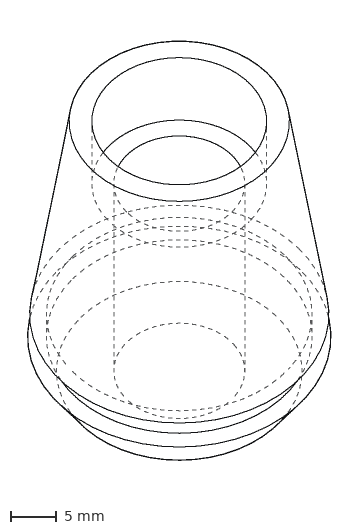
import cadquery as cq
import math

total_height = 40.0
collar_height = 5.5
groove_width = 3.6
cone_bottom_z = collar_height + groove_width
cone_height = total_height - cone_bottom_z

collar_diameter = 33.35
collar_half_angle = 30.0
groove_diameter = 29.2
cone_top_diameter = 24.2
cone_half_angle = 8.0

bore_diameter = 14.4
counterbore_diameter = 19.2
counterbore_depth = 10.0

collar_radius = collar_diameter / 2
collar_bottom_radius = collar_radius - collar_height * math.tan(math.radians(collar_half_angle))
groove_radius = groove_diameter / 2
cone_top_radius = cone_top_diameter / 2
cone_bottom_radius = cone_top_radius + cone_height * math.tan(math.radians(cone_half_angle))


def collet_body():
    """Solid of revolution: tapered collar, groove and long cone."""
    half_profile = (
        cq.Workplane("XZ")
        .moveTo(0, 0)
        .lineTo(collar_bottom_radius, 0)
        .lineTo(collar_radius, collar_height)
        .lineTo(groove_radius, collar_height)
        .lineTo(groove_radius, cone_bottom_z)
        .lineTo(cone_bottom_radius, cone_bottom_z)
        .lineTo(cone_top_radius, total_height)
        .lineTo(0, total_height)
        .close()
    )
    return half_profile.revolve(360, (0, 0), (0, 1))


def cut_stepped_hole(body):
    """Through bore with a wider counterbore opening at the top face."""
    return body.faces(">Z").workplane().cboreHole(bore_diameter, counterbore_diameter, counterbore_depth)


result = cut_stepped_hole(collet_body())